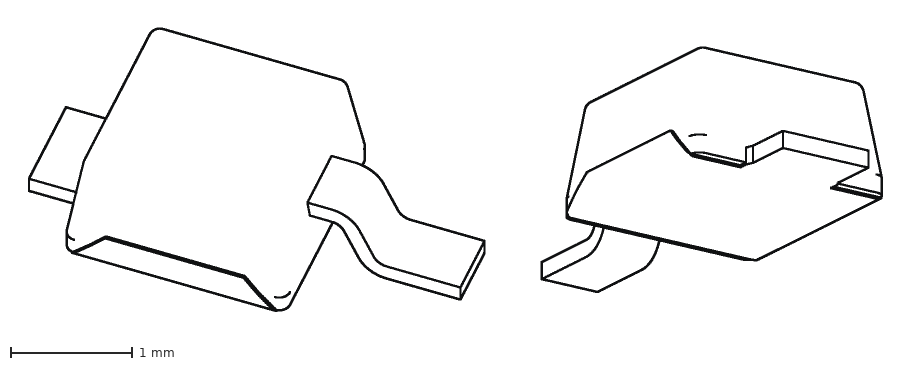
import cadquery as cq
import math

body_length = 1.965
body_width = 1.895
body_bottom = 0.02
body_top = 1.02
band_top = 0.175
draft_angle = 8.0
body_fillet = 0.098

strap_length = 1.8
strap_width = 1.94
strap_top = 0.308
strap_bottom_radius = 0.055
strap_bend_radius = 0.562

lead_thickness = 0.15
flat_lead_end = -1.485
flat_lead_width = 0.85
flare_start = -1.05
flare_growth = 0.025
bent_lead_end = 2.265
bent_lead_width = 0.555
bent_lead_root = 0.75
bent_lead_top = 0.655
bend_start = 1.125
bend_angle = 65.0
bend_inner_radius = 0.125

draft_slope = math.tan(math.radians(draft_angle))


def make_body():
    """Short upright band with a drafted cap, rounded on its corners and top rim."""
    band = (
        cq.Workplane("XY")
        .workplane(offset=body_bottom)
        .rect(body_length, body_width)
        .extrude(band_top - body_bottom)
    )
    cap = (
        cq.Workplane("XY")
        .workplane(offset=band_top)
        .rect(body_length, body_width)
        .extrude(body_top - band_top, taper=draft_angle)
    )
    band = band.edges("|Z").fillet(body_fillet)
    cap = cap.edges("not <Z").fillet(body_fillet)
    return band.union(cap)


def make_strap():
    """U-shaped strap following the body sides, with 45 degree ends on its side flaps."""
    half_width = strap_width / 2
    top_half_width = half_width - (strap_top - band_top) * draft_slope
    bend_reach = strap_bend_radius * math.tan(math.radians(draft_angle / 2))
    bend_top = band_top + bend_reach * math.cos(math.radians(draft_angle))
    bend_half_width = half_width - (bend_top - band_top) * draft_slope
    floor_half_width = half_width - strap_bottom_radius
    section = (
        cq.Workplane("YZ")
        .moveTo(-floor_half_width, 0)
        .lineTo(floor_half_width, 0)
        .radiusArc((half_width, strap_bottom_radius), -strap_bottom_radius)
        .lineTo(half_width, band_top - bend_reach)
        .radiusArc((bend_half_width, bend_top), -strap_bend_radius)
        .lineTo(top_half_width, strap_top)
        .lineTo(-top_half_width, strap_top)
        .lineTo(-bend_half_width, bend_top)
        .radiusArc((-half_width, band_top - bend_reach), -strap_bend_radius)
        .lineTo(-half_width, strap_bottom_radius)
        .radiusArc((-floor_half_width, 0), -strap_bottom_radius)
        .close()
        .extrude(strap_length / 2, both=True)
    )
    half_length = strap_length / 2
    top_half_length = half_length - (strap_top - body_bottom)
    side_outline = (
        cq.Workplane("XZ")
        .polyline([
            (-half_length, 0),
            (half_length, 0),
            (half_length, body_bottom),
            (top_half_length, strap_top),
            (-top_half_length, strap_top),
            (-half_length, body_bottom),
        ])
        .close()
        .extrude(strap_width, both=True)
    )
    return section.intersect(side_outline)


def make_flat_lead():
    """Flat lead on the -X side, flaring slightly where it enters the body."""
    half_width = flat_lead_width / 2
    body_side = -body_length / 2
    root = -strap_length / 2
    flared_half_width = half_width + flare_growth
    return (
        cq.Workplane("XY")
        .polyline([
            (flat_lead_end, -half_width),
            (flare_start, -half_width),
            (body_side, -flared_half_width),
            (root, -flared_half_width),
            (root, flared_half_width),
            (body_side, flared_half_width),
            (flare_start, half_width),
            (flat_lead_end, half_width),
        ])
        .close()
        .extrude(lead_thickness)
    )


def make_bent_lead():
    """S-bent lead on the +X side, dropping from mid-body to the mounting plane."""
    angle = math.radians(bend_angle)
    outer_radius = bend_inner_radius + lead_thickness
    bend_drop = (outer_radius + bend_inner_radius) * (1 - math.cos(angle))
    slope_drop = bent_lead_top - lead_thickness - bend_drop
    slope_run = slope_drop / math.tan(angle)
    bend_end = bend_start + (outer_radius + bend_inner_radius) * math.sin(angle) + slope_run

    upper_centre = bent_lead_top - outer_radius
    lower_centre = outer_radius

    def upper_bend(radius):
        return (bend_start + radius * math.sin(angle), upper_centre + radius * math.cos(angle))

    def lower_bend(radius):
        return (bend_end - radius * math.sin(angle), lower_centre - radius * math.cos(angle))

    return (
        cq.Workplane("XZ")
        .moveTo(bent_lead_root, bent_lead_top)
        .lineTo(bend_start, bent_lead_top)
        .radiusArc(upper_bend(outer_radius), outer_radius)
        .lineTo(*lower_bend(bend_inner_radius))
        .radiusArc((bend_end, lead_thickness), -bend_inner_radius)
        .lineTo(bent_lead_end, lead_thickness)
        .lineTo(bent_lead_end, 0)
        .lineTo(bend_end, 0)
        .radiusArc(lower_bend(outer_radius), outer_radius)
        .lineTo(*upper_bend(bend_inner_radius))
        .radiusArc((bend_start, bent_lead_top - lead_thickness), -bend_inner_radius)
        .lineTo(bent_lead_root, bent_lead_top - lead_thickness)
        .close()
        .extrude(bent_lead_width / 2, both=True)
    )


result = make_body().union(make_strap()).union(make_flat_lead()).union(make_bent_lead())